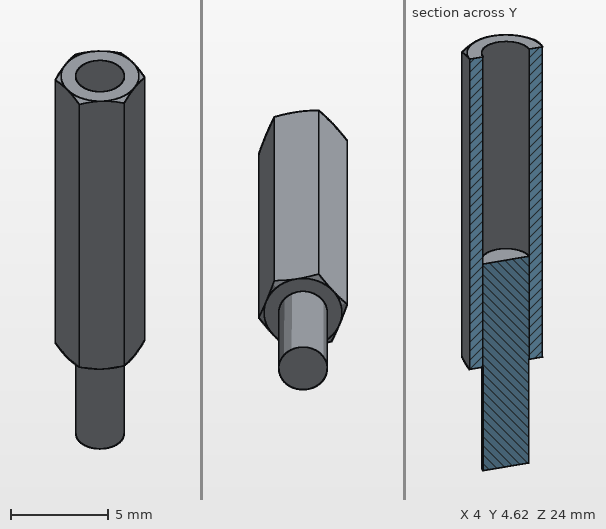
import cadquery as cq
import math

total_length = 24.0
stud_exposed_length = 6.0
stud_insert_length = 6.0
across_flats = total_length / 6
bore_diameter = 2.5
corner_chamfer_angle = 30.0

sleeve_length = total_length - stud_exposed_length
stud_length = stud_exposed_length + stud_insert_length
across_corners = across_flats / math.cos(math.radians(30))
flat_radius = across_flats / 2
corner_radius = across_corners / 2
chamfer_height = (corner_radius - flat_radius) * math.tan(math.radians(corner_chamfer_angle))


def make_corner_envelope():
    """Cylinder around the hexagon corners, coned at both ends to the width across flats."""
    return (
        cq.Workplane("XZ")
        .moveTo(0, 0)
        .lineTo(flat_radius, 0)
        .lineTo(corner_radius, chamfer_height)
        .lineTo(corner_radius, sleeve_length - chamfer_height)
        .lineTo(flat_radius, sleeve_length)
        .lineTo(0, sleeve_length)
        .close()
        .revolve(360, (0, 0, 0), (0, 1, 0))
    )


def make_hex_sleeve():
    """Hexagonal sleeve with corners along Y, chamfered ends and a through bore."""
    hexagon = (
        cq.Workplane("XY")
        .polygon(6, across_corners)
        .extrude(sleeve_length)
        .rotate((0, 0, 0), (0, 0, 1), 90)
    )
    bore = cq.Workplane("XY").circle(bore_diameter / 2).extrude(sleeve_length)
    sleeve = hexagon.intersect(make_corner_envelope()).cut(bore)
    return sleeve.translate((0, 0, stud_exposed_length))


def make_stud():
    """Round stud that fills the lower end of the bore and stands out below the sleeve."""
    return cq.Workplane("XY").circle(bore_diameter / 2).extrude(stud_length)


hex_sleeve = make_hex_sleeve()
stud = make_stud()

result = cq.Compound.makeCompound([hex_sleeve.solids().val(), stud.val()])